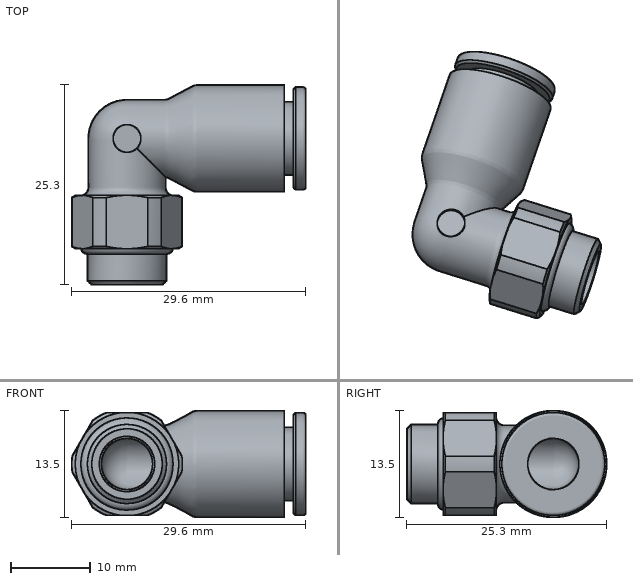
import cadquery as cq
import math


elbow_radius = 4.9
bore_radius = 3.23

socket_radius = 6.75
cone_start = 5.04
cone_end = 8.54
cone_blend = 1.0
socket_end = 19.86
collar_neck_radius = 4.65
collar_radius = 6.5
collar_start = 20.98
arm_end = 22.6
collar_chamfer = 0.3
collar_round = 0.4

hex_sides = 6
hex_across_flats = 13.0
hex_corner_radius = 7.0
hex_start = 7.2
hex_end = 13.9
hex_chamfer_angle = 30.0
hex_face_radius = 6.53
neck_fillet = 1.0
ring_radius = 5.83
ring_end = 14.6
thread_radius = 5.0
thread_chamfer = 0.55
stem_end = 18.5
mouth_radius = 3.5
mouth_depth = 4.65

recess_radius = 1.75
recess_floor = 4.4


def stem_cylinder(radius, start, end):
    """Cylinder on the stem axis between two distances from the arm axis."""
    return cq.Workplane("XZ", origin=(0, -start, 0)).circle(radius).extrude(end - start)


def arm_cylinder(radius, start, end):
    """Cylinder on the arm axis between two X positions."""
    return cq.Workplane("YZ", origin=(start, 0, 0)).circle(radius).extrude(end - start)


def revolve_about_stem(profile):
    """Turn a closed XY profile around the Y axis."""
    return profile.close().revolve(360, (0, 0, 0), (0, 1, 0))


def make_arm():
    """Elbow tube flaring through a blended cone into the tube socket."""
    body = (
        cq.Workplane("XY")
        .polyline([
            (0, 0),
            (0, elbow_radius),
            (cone_start, elbow_radius),
            (cone_end, socket_radius),
            (socket_end, socket_radius),
            (socket_end, 0),
        ])
        .close()
        .revolve(360, (0, 0, 0), (1, 0, 0))
    )
    margin = cone_blend / 10
    cone_rims = cq.selectors.BoxSelector(
        (cone_start - margin, -socket_radius - margin, -socket_radius - margin),
        (cone_end + margin, socket_radius + margin, socket_radius + margin),
        boundingbox=True,
    )
    return body.edges(cone_rims).edges("%CIRCLE").fillet(cone_blend)


def make_collar():
    """Release collar: a narrow neck and a flange with softened rims."""
    neck = arm_cylinder(collar_neck_radius, socket_end, collar_start)
    flange = arm_cylinder(collar_radius, collar_start, arm_end)
    flange = flange.faces("<X").edges().chamfer(collar_chamfer)
    flange = flange.faces(">X").edges().fillet(collar_round)
    return neck.union(flange)


def make_hexagon():
    """Hexagon with turned corners and a chamfer at both ends."""
    length = hex_end - hex_start
    across_corners = hex_across_flats / math.cos(math.pi / hex_sides)
    prism = cq.Workplane("XZ", origin=(0, -hex_start, 0)).polygon(hex_sides, across_corners).extrude(length)
    chamfer_width = hex_corner_radius - hex_face_radius
    chamfer_length = chamfer_width * math.tan(math.radians(hex_chamfer_angle))
    envelope = revolve_about_stem(
        cq.Workplane("XY").polyline([
            (0, -hex_start),
            (hex_face_radius, -hex_start),
            (hex_corner_radius, -hex_start - chamfer_length),
            (hex_corner_radius, -hex_end + chamfer_length),
            (hex_face_radius, -hex_end),
            (0, -hex_end),
        ])
    )
    return prism.intersect(envelope)


def make_neck_flare():
    """Stem tube widening through a concave round onto the hexagon."""
    diagonal = neck_fillet * (1 - math.sqrt(0.5))
    return revolve_about_stem(
        cq.Workplane("XY")
        .moveTo(0, 0)
        .lineTo(elbow_radius, 0)
        .lineTo(elbow_radius, -hex_start + neck_fillet)
        .threePointArc(
            (elbow_radius + diagonal, -hex_start + diagonal),
            (elbow_radius + neck_fillet, -hex_start),
        )
        .lineTo(0, -hex_start)
    )


def make_sealing_ring():
    """Round-sided ring running from below the hexagon down to the spigot."""
    section_radius = ring_radius - thread_radius
    section_start = ring_end - section_radius
    diagonal = section_radius * math.sqrt(0.5)
    return revolve_about_stem(
        cq.Workplane("XY")
        .moveTo(0, -section_start)
        .lineTo(ring_radius, -section_start)
        .threePointArc(
            (thread_radius + diagonal, -section_start - diagonal),
            (thread_radius, -ring_end),
        )
        .lineTo(0, -ring_end)
    )


def make_thread():
    """Threaded spigot, modelled smooth, with a chamfered tip."""
    return stem_cylinder(thread_radius, hex_end, stem_end).faces("<Y").edges().chamfer(thread_chamfer)


def make_passage():
    """L-shaped bore with a rounded corner and a wider mouth in the spigot."""
    corner = cq.Workplane("XY").sphere(bore_radius)
    mouth = stem_cylinder(mouth_radius, stem_end - mouth_depth, stem_end)
    return (
        corner.union(stem_cylinder(bore_radius, 0, stem_end))
        .union(arm_cylinder(bore_radius, 0, arm_end))
        .union(mouth)
    )


def make_recess():
    """Shallow flat-floored round pocket."""
    return cq.Workplane("XY", origin=(0, 0, recess_floor)).circle(recess_radius).extrude(elbow_radius)


result = cq.Workplane("XY").sphere(elbow_radius)
for feature in (
    make_arm(),
    make_collar(),
    make_neck_flare(),
    make_hexagon(),
    make_sealing_ring(),
    make_thread(),
):
    result = result.union(feature)
result = result.cut(make_passage()).cut(make_recess())